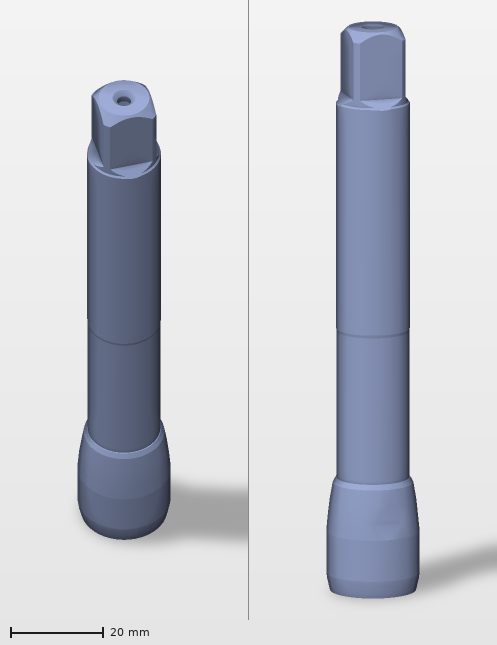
import cadquery as cq
import math

total_length = 125.0

shaft_radius = 15.8 / 2
upper_radius = 16.0 / 2
upper_start_z = 57.5
step_chamfer_height = 0.6

square_side = 11.9
corner_radius = 7.6
square_bottom_z = 110.1
shoulder_z = 108.2
top_face_radius = 5.5

center_hole_radius = 3.0 / 2
center_mouth_radius = 2.5
center_hole_depth = 2.5
drill_point_angle = 118.0

collar_radius = 20.2 / 2
collar_top_z = 25.0
collar_top_radius = 8.1
collar_chamfer_z = 23.9
collar_chamfer_radius = 8.8
barrel_top_z = 13.0
barrel_bottom_z = 3.9
collar_end_radius = 9.4
upper_bulge = 0.19
lower_bulge = 0.1


def revolve(profile):
    """Revolve a closed radius-height profile about Z."""
    return profile.close().revolve(360, (0, 0, 0), (0, 1, 0))


def bulge_point(start, end, rise):
    """Midpoint of a chord, pushed outward (in +radius) by the given rise."""
    return ((start[0] + end[0]) / 2 + rise, (start[1] + end[1]) / 2)


def make_turned_shaft():
    end_chamfer = corner_radius - top_face_radius
    shoulder_chamfer = upper_radius - corner_radius
    return revolve(
        cq.Workplane("XZ")
        .moveTo(0, 0)
        .lineTo(shaft_radius, 0)
        .lineTo(shaft_radius, upper_start_z)
        .lineTo(upper_radius, upper_start_z + step_chamfer_height)
        .lineTo(upper_radius, shoulder_z)
        .lineTo(corner_radius, shoulder_z + shoulder_chamfer)
        .lineTo(corner_radius, total_length - end_chamfer)
        .lineTo(top_face_radius, total_length)
        .lineTo(0, total_length)
    )


def make_flat_cutter():
    """Cutter for one flat of the square, with a 45 degree run-out below it."""
    half_side = square_side / 2
    outer = 2 * upper_radius
    return (
        cq.Workplane("XZ")
        .moveTo(half_side, total_length)
        .lineTo(half_side, square_bottom_z)
        .lineTo(outer, square_bottom_z - (outer - half_side))
        .lineTo(outer, total_length)
        .close()
        .extrude(upper_radius, both=True)
    )


def make_center_drilling():
    mouth_depth = center_mouth_radius - center_hole_radius
    tip_height = center_hole_radius / math.tan(math.radians(drill_point_angle / 2))
    hole_bottom_z = total_length - center_hole_depth
    return revolve(
        cq.Workplane("XZ")
        .moveTo(0, total_length)
        .lineTo(center_mouth_radius, total_length)
        .lineTo(center_hole_radius, total_length - mouth_depth)
        .lineTo(center_hole_radius, hole_bottom_z)
        .lineTo(0, hole_bottom_z - tip_height)
    )


def make_shaft():
    shaft = make_turned_shaft()
    flat_cutter = make_flat_cutter()
    for angle in (0, 90, 180, 270):
        shaft = shaft.cut(flat_cutter.rotate((0, 0, 0), (0, 0, 1), angle))
    return shaft.cut(make_center_drilling())


def make_collar():
    end = (collar_end_radius, 0)
    barrel_bottom = (collar_radius, barrel_bottom_z)
    barrel_top = (collar_radius, barrel_top_z)
    chamfer_start = (collar_chamfer_radius, collar_chamfer_z)
    return revolve(
        cq.Workplane("XZ")
        .moveTo(shaft_radius, 0)
        .lineTo(*end)
        .threePointArc(bulge_point(end, barrel_bottom, lower_bulge), barrel_bottom)
        .lineTo(*barrel_top)
        .threePointArc(bulge_point(barrel_top, chamfer_start, upper_bulge), chamfer_start)
        .lineTo(collar_top_radius, collar_top_z)
        .lineTo(shaft_radius, collar_top_z)
    )


shaft = make_shaft()
collar = make_collar()

result = cq.Compound.makeCompound([shaft.val(), collar.val()])